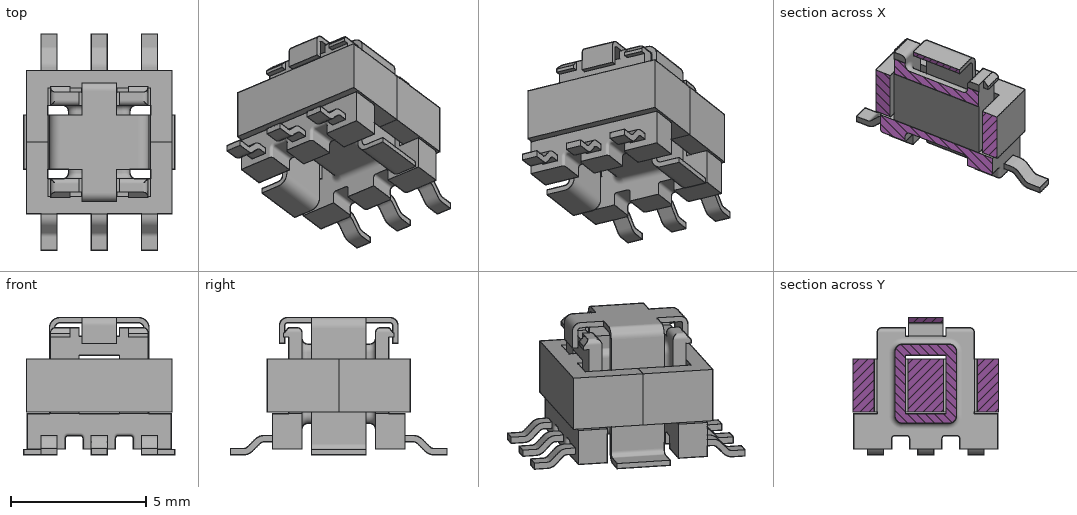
import cadquery as cq
import math


core_width = 5.38
core_depth = 5.3
core_bottom = 1.58
core_height = 1.96
core_top = core_bottom + core_height
window_width = 3.8
window_depth = 4.02
core_leg_width = 1.33

clip_span = 5.59
clip_top = 5.08
clip_thickness = 0.2
strap_width = 3.69
strap_depth = 2.02
strap_bend = 0.4
arm_width = 1.29
arm_span = 4.38
arm_bottom = 4.12
arm_bend = 0.3

rail_width = 5.33
rail_bottom = 0.22
rail_top = 1.52
rail_inner = 1.35
rail_outer = 2.45
slot_width = 0.66
slot_top = 0.7
slot_round = 0.1

flange_width = 3.6
flange_top = 4.7
flange_outer = 1.85
flange_round = 0.19
notch_bottom = 4.39
hook_reach = 0.2
hook_length = 0.72
hook_lip_top = 4.48
hook_lip_bottom = 4.35

bore_width = 1.49
bore_top = 3.68
barrel_width = 2.29
barrel_bottom = 1.16
barrel_top = 4.1
barrel_round = 0.3
barrel_flare = 0.21

lead_span = 8.0
lead_width = 0.61
lead_pitch = 1.86
lead_thickness = 0.24
lead_top = 0.72
lead_straight = 0.31
lead_bend = 0.45
lead_angle = math.radians(45)

margin = 0.01


def box(x0, x1, y0, y1, z0, z1):
    """Axis-aligned block between the given coordinates."""
    return cq.Workplane("XY").box(x1 - x0, y1 - y0, z1 - z0, centered=False).translate((x0, y0, z0))


def core_half():
    """E-shaped half on the +Y side, its three legs ending on the Y = 0 plane."""
    half = box(-core_width / 2, core_width / 2, 0, core_depth / 2, core_bottom, core_top)
    for side in (-1, 1):
        x_near, x_far = sorted((side * core_leg_width / 2, side * window_width / 2))
        half = half.cut(box(x_near, x_far, 0, window_depth / 2, core_bottom, core_top))
    return half


def clip_strap():
    """Strip bent over the core along X, with both ends turned outward into feet."""
    outer = strap_width / 2
    inner = outer - clip_thickness
    inside_bend = strap_bend - clip_thickness
    top_bend_x = outer - strap_bend
    top_bend_z = clip_top - strap_bend
    foot_bend_x = outer + inside_bend
    foot_bend_z = strap_bend
    half = (
        cq.Workplane("XZ")
        .moveTo(0, clip_top)
        .lineTo(top_bend_x, clip_top)
        .tangentArcPoint((outer, top_bend_z), relative=False)
        .lineTo(outer, foot_bend_z)
        .tangentArcPoint((foot_bend_x, clip_thickness), relative=False)
        .lineTo(clip_span / 2, clip_thickness)
        .lineTo(clip_span / 2, 0)
        .lineTo(foot_bend_x, 0)
        .tangentArcPoint((inner, foot_bend_z), relative=False)
        .lineTo(inner, top_bend_z)
        .tangentArcPoint((top_bend_x, clip_top - clip_thickness), relative=False)
        .lineTo(0, clip_top - clip_thickness)
        .close()
        .extrude(strap_depth / 2, both=True)
    )
    return half.union(half.mirror("YZ"))


def clip_arms():
    """Strip bent down at both ends along Y, crossing the strap at the top."""
    outer = arm_span / 2
    inner = outer - clip_thickness
    bend_y = outer - arm_bend
    bend_z = clip_top - arm_bend
    half = (
        cq.Workplane("YZ")
        .moveTo(0, clip_top)
        .lineTo(bend_y, clip_top)
        .tangentArcPoint((outer, bend_z), relative=False)
        .lineTo(outer, arm_bottom)
        .lineTo(inner, arm_bottom)
        .lineTo(inner, bend_z)
        .tangentArcPoint((bend_y, clip_top - clip_thickness), relative=False)
        .lineTo(0, clip_top - clip_thickness)
        .close()
        .extrude(arm_width / 2, both=True)
    )
    return half.union(half.mirror("XZ"))


def rail():
    """Lead rail on the -Y side with two rounded slots in its underside, one between each pair of leads."""
    half = box(0, rail_width / 2, -rail_outer, -rail_inner, rail_bottom, rail_top)
    left = (lead_pitch - slot_width) / 2
    right = (lead_pitch + slot_width) / 2
    slot = box(left, right, -rail_outer, -rail_inner, rail_bottom - slot_round, slot_top)
    slot = slot.edges("|Y and >Z").fillet(slot_round)
    half = half.cut(slot)
    slot_mouth = cq.selectors.BoxSelector(
        (left - margin, -rail_outer - margin, rail_bottom + margin),
        (right + margin, -rail_outer + margin, slot_top + margin),
    )
    half = half.edges(slot_mouth).fillet(slot_round)
    return half.union(half.mirror("YZ"))


def flange():
    """End flange on the -Y side with rounded top edges, a wide top notch and two outward hooks."""
    half_width = flange_width / 2
    plate = box(-half_width, half_width, -flange_outer, -rail_inner, rail_top, flange_top)
    hook_tip = flange_outer + hook_reach
    hook_profile = [
        (-rail_inner, flange_top),
        (-flange_outer, flange_top),
        (-hook_tip, hook_lip_top),
        (-hook_tip, hook_lip_bottom),
        (-rail_inner, hook_lip_bottom),
    ]
    hook_strip = cq.Workplane("YZ").polyline(hook_profile).close().extrude(hook_length)
    for start in (-half_width, half_width - hook_length):
        plate = plate.union(hook_strip.translate((start, 0, 0)))
    plate = plate.edges(">Y and >Z").fillet(flange_round)
    rounded_sides = box(-half_width, half_width, -hook_tip, -rail_inner, rail_top, flange_top)
    rounded_sides = rounded_sides.edges("|Y and >Z").fillet(flange_round)
    notch = box(-bore_width / 2, bore_width / 2, -hook_tip, -rail_inner, notch_bottom, flange_top)
    return plate.intersect(rounded_sides).cut(notch)


def lead():
    """Gull-wing lead leaving the -Y face of its rail at X = 0."""
    inside_bend = lead_bend - lead_thickness
    sine = math.sin(lead_angle)
    rise = 1 - math.cos(lead_angle)
    drop = lead_top - lead_thickness
    slope_drop = drop - (lead_bend + inside_bend) * rise
    slope_run = slope_drop / math.tan(lead_angle)
    first_bend = rail_outer + lead_straight
    last_bend = first_bend + (lead_bend + inside_bend) * sine + slope_run
    tip = lead_span / 2
    profile = (
        cq.Workplane("YZ")
        .moveTo(-rail_outer, lead_top)
        .lineTo(-first_bend, lead_top)
        .tangentArcPoint((-lead_bend * sine, -lead_bend * rise))
        .line(-slope_run, -slope_drop)
        .tangentArcPoint((-inside_bend * sine, -inside_bend * rise))
        .lineTo(-tip, lead_thickness)
        .lineTo(-tip, 0)
        .lineTo(-last_bend, 0)
        .tangentArcPoint((lead_bend * sine, lead_bend * rise))
        .line(slope_run, slope_drop)
        .tangentArcPoint((inside_bend * sine, inside_bend * rise))
        .lineTo(-rail_outer, lead_top - lead_thickness)
        .close()
    )
    return profile.extrude(lead_width / 2, both=True)


def bobbin_end():
    """Rail, flange and three leads of the -Y end."""
    end = rail().union(flange())
    for position in (-1, 0, 1):
        end = end.union(lead().translate((position * lead_pitch, 0, 0)))
    return end


def bobbin():
    """Two opposite ends joined by a flared barrel, with the core-leg bore through everything."""
    end = bobbin_end()
    half_barrel = barrel_width / 2
    barrel = box(-half_barrel, half_barrel, -rail_inner, rail_inner, barrel_bottom, barrel_top)
    barrel = barrel.edges("|Y").fillet(barrel_round)
    body = end.union(end.rotate((0, 0, 0), (0, 0, 1), 180)).union(barrel)
    for end_side in (-1, 1):
        y_near, y_far = sorted((end_side * (rail_inner - margin), end_side * (rail_inner + margin)))
        joint = cq.selectors.BoxSelector(
            (-half_barrel - margin, y_near, barrel_bottom - margin),
            (half_barrel + margin, y_far, barrel_top + margin),
        )
        body = body.edges(joint).fillet(barrel_flare)
    bore = box(-bore_width / 2, bore_width / 2, -flange_outer, flange_outer, rail_top, bore_top)
    return body.cut(bore)


rear_core = core_half()
front_core = rear_core.mirror("XZ")
clip = clip_strap().union(clip_arms())
former = bobbin()

result = cq.Compound.makeCompound([rear_core.val(), front_core.val(), clip.val(), former.val()])